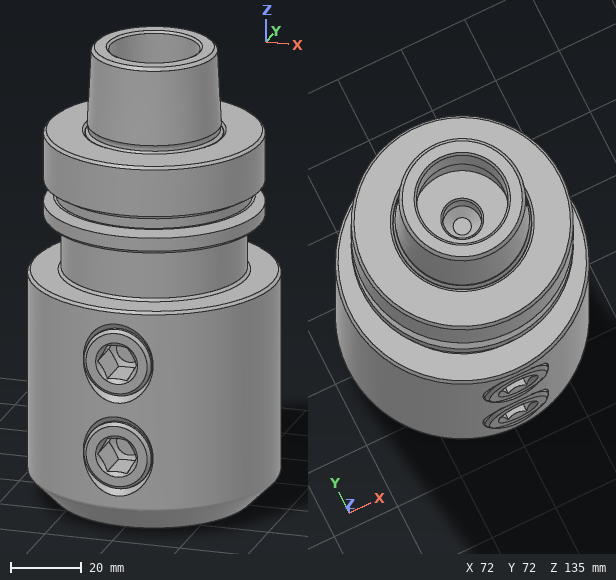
import cadquery as cq
import math

total_length = 135.0
body_top = 68.0
flange_bottom = 84.0
flange_top = 110.0

body_diameter = 72.0
body_radius = body_diameter / 2
body_top_chamfer = 0.8
nose_height = 8.0
nose_edge_radius = 1.6

neck_radius = 26.5
neck_flare = 0.8

flange_radius = 31.5
flange_chamfer = 0.8
groove_top = 95.2
groove_bottom = 88.7
groove_floor_radius = 27.8
groove_flank_angle = 30.0
groove_ledge_radius = 28.6

taper_top_radius = 18.0
taper_bottom_radius = 19.0
taper_foot = 112.0
taper_tip_chamfer = 1.0
undercut_radius = 18.8
undercut_bevel_height = 1.0
flare_height = 1.0
flare_radius = 19.6
face_groove_radius = 20.4
face_groove_depth = 0.7

bore_radius = 13.0
bore_chamfer = 0.7
bore_mouth_depth = 10.1
chamber_radius = 14.2
bore_depth = 21.6
screw_hole_radius = 5.5
screw_hole_chamfer = 0.5
screw_hole_depth = 8.1
drill_point_radius = 2.5
drill_point_angle = 118.0

screw_heights = (24.0, 52.0)
screw_radius = 10.0
screw_chamfer = 1.0
screw_seat_depth = 16.2
countersink_radius = 11.9
socket_flats = 10.0
socket_depth = 12.2
socket_floor_radius = 3.8
socket_mouth_radius = 6.2


def revolve(points):
    """Turn a (radius, height) outline around the Z axis."""
    return cq.Workplane("XZ").polyline(points).close().revolve(360, (0, 0), (0, 1))


def cone(bottom_radius, top_radius, bottom, top):
    """Truncated cone on the Z axis between two heights."""
    return revolve([(0, bottom), (bottom_radius, bottom), (top_radius, top), (0, top)])


def make_body():
    body = cq.Workplane("XY").circle(body_radius).extrude(body_top)
    body = body.faces("<Z").chamfer(nose_height)
    body = body.faces("%CONE").edges("%CIRCLE").fillet(nose_edge_radius)
    return body.faces(">Z").chamfer(body_top_chamfer)


def make_neck():
    flared_radius = neck_radius + neck_flare
    return revolve([
        (0, body_top),
        (flared_radius, body_top),
        (neck_radius, body_top + neck_flare),
        (neck_radius, flange_bottom - neck_flare),
        (flared_radius, flange_bottom),
        (0, flange_bottom),
    ])


def make_flange():
    flank_height = (flange_radius - groove_ledge_radius) * math.tan(math.radians(groove_flank_angle))
    chamfered_radius = flange_radius - flange_chamfer
    return revolve([
        (0, flange_bottom),
        (chamfered_radius, flange_bottom),
        (flange_radius, flange_bottom + flange_chamfer),
        (flange_radius, groove_bottom),
        (groove_ledge_radius, groove_bottom + flank_height),
        (groove_floor_radius, groove_bottom + flank_height),
        (groove_floor_radius, groove_top - flank_height),
        (groove_ledge_radius, groove_top - flank_height),
        (flange_radius, groove_top),
        (flange_radius, flange_top - flange_chamfer),
        (chamfered_radius, flange_top),
        (face_groove_radius, flange_top),
        (face_groove_radius - face_groove_depth, flange_top - face_groove_depth),
        (0, flange_top - face_groove_depth),
    ])


def make_taper():
    taper_root = flange_top - face_groove_depth
    return revolve([
        (0, taper_root),
        (flare_radius, taper_root),
        (undercut_radius, taper_root + flare_height),
        (undercut_radius, taper_foot - undercut_bevel_height),
        (taper_bottom_radius, taper_foot),
        (taper_top_radius, total_length - taper_tip_chamfer),
        (taper_top_radius - taper_tip_chamfer, total_length),
        (0, total_length),
    ])


def make_bore():
    lip = total_length - bore_mouth_depth
    floor = total_length - bore_depth
    step = chamber_radius - bore_radius
    hole_floor = floor - screw_hole_depth
    point_slope = math.tan(math.radians(drill_point_angle / 2))
    point_height = (screw_hole_radius - drill_point_radius) / point_slope
    return revolve([
        (0, hole_floor),
        (drill_point_radius, hole_floor),
        (screw_hole_radius, hole_floor + point_height),
        (screw_hole_radius, floor - screw_hole_chamfer),
        (screw_hole_radius + screw_hole_chamfer, floor),
        (chamber_radius, floor),
        (chamber_radius, lip - step),
        (bore_radius, lip),
        (bore_radius, total_length - bore_chamfer),
        (bore_radius + bore_chamfer, total_length),
        (0, total_length),
    ])


def make_screw_seat():
    """Countersunk hole along Z with its mouth at height zero."""
    hole = cq.Workplane("XY").circle(screw_radius).extrude(-screw_seat_depth)
    return hole.union(cone(screw_radius, countersink_radius, screw_radius - countersink_radius, 0))


def make_screw():
    """Set screw along Z with its socket opening at height zero."""
    screw = cq.Workplane("XY").circle(screw_radius).extrude(-screw_seat_depth)
    screw = screw.faces(">Z").chamfer(screw_chamfer)
    corner_radius = socket_flats / math.sqrt(3)
    socket = cq.Workplane("XY").polygon(6, 2 * corner_radius).extrude(-socket_depth)
    point_height = (corner_radius - socket_floor_radius) / 2
    drill_point = cone(socket_floor_radius, corner_radius, -socket_depth, point_height - socket_depth)
    bored = cq.Workplane("XY").circle(corner_radius).extrude(point_height - socket_depth)
    socket = socket.intersect(drill_point.union(bored))
    flat_radius = socket_flats / 2
    mouth = cone(flat_radius, socket_mouth_radius, flat_radius - socket_mouth_radius, 0)
    return screw.cut(socket).cut(mouth)


def on_side(shape, height):
    """Turn a shape built along Z to face -Y on the body surface at the given height."""
    return shape.rotate((0, 0, 0), (1, 0, 0), 90).translate((0, -body_radius, height))


result = make_body().union(make_neck()).union(make_flange()).union(make_taper()).cut(make_bore())
for screw_height in screw_heights:
    result = result.cut(on_side(make_screw_seat(), screw_height))
    result = result.union(on_side(make_screw(), screw_height))